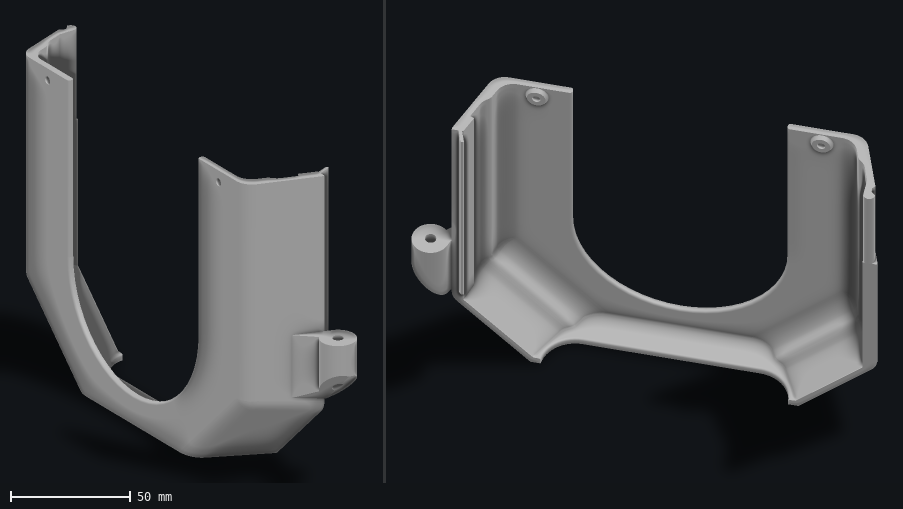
import cadquery as cq
import math


HEIGHT = 141.5
DEPTH = 33.5
RIM_Y = -0.5
HALF_WIDTH = 91.07
DIAGONAL_REACH = 57.4
LEAN_DEGREES = 20
WALL_LEAN = math.radians(LEAN_DEGREES)
RIM_FLAT = 1.5
OUTER_FILLET = 8.0

FRONT_WALL = 3.0
FLOOR_WALL = 3.0
THIN_WALL = 3.0
THICK_WALL = 5.0
STEP_START = -18.2
STEP_ANGLE = math.radians(30)
STEP_HOLLOW_RADIUS = 7.0
STEP_CREST_RADIUS = 4.0
INNER_FILLET = 8.0
INNER_CORNER_FILLET = 5.0

OPENING_HALF_WIDTH = 46.0
OPENING_FILLET = 1.2
OPENING_CENTRE_Z = 59.5
FLOOR_SCOOP_HALF_WIDTH = 53.0
FLOOR_SCOOP_DEPTH = 14.6
FLOOR_SCOOP_RADIUS = 15.0
FLOOR_SCOOP_FILLET = 1.0

SCREW_X = 61.0
SCREW_Z = 136.0
SCREW_DIAMETER = 3.5
BOSS_BASE_DIAMETER = 10.0
BOSS_TOP_DIAMETER = 8.0
BOSS_HEIGHT = 1.7

LEFT_LIP_X = -84.8
LIP_DEPTH = 10.5
GROOVE_LENGTH = 42.0
BEAD_RADIUS = 2.5
GROOVE_FLOOR_X = -87.7
GROOVE_START_Y = -4.4
GROOVE_END_Y = -6.1
GROOVE_EXIT_Y = -7.5

PAD_DEPTH = 8.5
PAD_RAMP = 0.8
TONGUE_LENGTH = 5.5
TONGUE_THICKNESS = 1.4
TONGUE_ROOT_X = 87.2
TONGUE_ROOT_DEPTH = 2.0
TONGUE_BOTTOM_Z = 38.3
TONGUE_BOTTOM_RISE = 5.0

HINGE_X = 100.0
HINGE_RADIUS = 8.0
HINGE_BORE = 4.8
HINGE_TOP_Z = 69.5
HINGE_DIAGONAL_REACH = 53.4
WEB_OFFSET = 0.6

LEAN = math.tan(WALL_LEAN)
ROOT2 = math.sqrt(2)
LEAN_HALF_WIDTH = HALF_WIDTH + RIM_FLAT * LEAN
LEAN_REACH = DIAGONAL_REACH + RIM_FLAT * LEAN * ROOT2
OVERSHOOT = 20.0
LONG = 400.0
FIT = 0.1


def outer_x(y):
    """X of the leaning outer face of the right wall at depth y."""
    return LEAN_HALF_WIDTH + y * LEAN


def inner_x(y, wall):
    """X of the inner face of the right wall for a given wall thickness."""
    return outer_x(y) - wall / math.cos(WALL_LEAN)


def rim_outline(half_width, reach):
    """Corners of the six-sided rim, open ends carried past the top and bottom faces."""
    low = -OVERSHOOT
    high = HEIGHT + OVERSHOOT
    right = [(reach + low, low), (half_width, half_width - reach), (half_width, high)]
    left = [(-x, z) for x, z in reversed(right)]
    return cq.Workplane("XZ").polyline(right + left).close()


def behind_rim_removed(body):
    """Body without anything behind the back rim."""
    front = cq.Workplane("XY").box(LONG, LONG, 2 * LONG, centered=(True, False, True))
    return body.intersect(front.translate((0, RIM_Y - LONG, 0)))


def outer_body():
    """Solid with leaning walls, rounded edges and a straight rim band."""
    leaning = rim_outline(LEAN_HALF_WIDTH, LEAN_REACH).extrude(DEPTH, taper=LEAN_DEGREES)
    walls = cq.selectors.BoxSelector((-LONG, -LONG, -1), (LONG, -1, HEIGHT))
    rounded = leaning.edges(walls).fillet(OUTER_FILLET)
    band = (
        rim_outline(HALF_WIDTH, DIAGONAL_REACH).extrude(DEPTH)
        .edges("|Y").edges(walls)
        .fillet(OUTER_FILLET)
    )
    height_range = cq.Workplane("XY").box(LONG, LONG, HEIGHT, centered=(True, True, False))
    return rounded.intersect(band).intersect(height_range)


def side_cavity(rim_distance, tilt):
    """Space on the inner side of one wall.

    rim_distance is measured from the origin to the wall's leaning face at Y = 0,
    tilt turns the wall about the Y axis, from upright at the right.
    """
    shift = rim_distance - LEAN_HALF_WIDTH
    ramp_slope = math.tan(WALL_LEAN + STEP_ANGLE)
    ramp_start = inner_x(STEP_START, THIN_WALL)
    ramp_gap = ramp_start - inner_x(STEP_START, THICK_WALL)
    ramp_depth = ramp_gap / (ramp_slope - LEAN)
    step_end = STEP_START - ramp_depth
    floor_y = FRONT_WALL - DEPTH
    back_y = OVERSHOOT
    rim_x = HALF_WIDTH - THIN_WALL + shift
    rim_y = (HALF_WIDTH - THIN_WALL - inner_x(0, THIN_WALL)) / LEAN
    corners = [
        (ramp_start + shift, STEP_START),
        (inner_x(step_end, THICK_WALL) + shift, step_end),
        (inner_x(floor_y, THICK_WALL) + shift, floor_y),
    ]
    radii = [STEP_HOLLOW_RADIUS, STEP_CREST_RADIUS, INNER_FILLET]
    outline = [(-LONG, back_y), (rim_x, back_y), (rim_x, rim_y)] + corners + [(-LONG, floor_y)]
    space = cq.Workplane("XY").polyline(outline).close().extrude(LONG, both=True)
    for (x, y), radius in zip(corners, radii):
        space = space.edges(cq.selectors.NearestToPointSelector((x, y, 0))).fillet(radius)
    return space.rotate((0, 0, 0), (0, 1, 0), tilt)


def cavity():
    """Hollow behind the front wall and above the floor."""
    arm = side_cavity(LEAN_HALF_WIDTH, 0)
    diagonal = side_cavity(LEAN_REACH / ROOT2, 45)
    corner = cq.selectors.BoxSelector((HALF_WIDTH / 2, -DEPTH, 0), (LONG, LONG, HEIGHT / 2))
    right = arm.intersect(diagonal)
    right = right.edges(corner).fillet(INNER_CORNER_FILLET)
    space = right.intersect(right.mirror("YZ"))
    above_floor = cq.Workplane("XY").workplane(offset=FLOOR_WALL).rect(LONG, LONG).extrude(LONG)
    return space.intersect(above_floor)


def cut_opening(part):
    """Cut the U-shaped window through the front wall and round its edges."""
    half = OPENING_HALF_WIDTH
    window = (
        cq.Workplane("XZ").moveTo(-half, HEIGHT).lineTo(-half, OPENING_CENTRE_Z)
        .threePointArc((0, OPENING_CENTRE_Z - half), (half, OPENING_CENTRE_Z))
        .lineTo(half, HEIGHT).close().extrude(DEPTH)
    )
    part = part.cut(window.intersect(front_wall_zone()))
    reach = half + FIT
    for y in (-DEPTH, FRONT_WALL - DEPTH):
        edge_zone = cq.selectors.BoxSelector(
            (-reach, y - FIT, FLOOR_WALL + FIT), (reach, y + FIT, HEIGHT - FIT)
        )
        part = part.edges(edge_zone).fillet(OPENING_FILLET)
    return part


def front_wall_zone():
    """Slab that holds the front wall only."""
    return cq.Workplane("XY").box(LONG, 2 * FRONT_WALL, LONG).translate((0, -DEPTH, 0))


def cut_floor_scoop(part):
    """Cut the shallow recess in the back edge of the floor and round its upper edge."""
    half = FLOOR_SCOOP_HALF_WIDTH
    radius = FLOOR_SCOOP_RADIUS
    flat = half - radius
    lift = radius - FLOOR_SCOOP_DEPTH
    bend = radius / ROOT2
    scoop = (
        cq.Workplane("XY").moveTo(-half, lift)
        .threePointArc((-flat - bend, lift - bend), (-flat, -FLOOR_SCOOP_DEPTH))
        .lineTo(flat, -FLOOR_SCOOP_DEPTH)
        .threePointArc((flat + bend, lift - bend), (half, lift))
        .close().extrude(FLOOR_WALL)
    )
    part = part.cut(scoop)
    edge_zone = cq.selectors.BoxSelector(
        (-half, -FLOOR_SCOOP_DEPTH - FIT, FLOOR_WALL - FIT), (half, RIM_Y - FIT, FLOOR_WALL + FIT)
    )
    return part.edges(edge_zone).fillet(FLOOR_SCOOP_FILLET)


def screw_boss(x):
    """Conical boss inside the front wall, rooted in the wall."""
    taper = math.degrees(math.atan((BOSS_BASE_DIAMETER - BOSS_TOP_DIAMETER) / 2 / BOSS_HEIGHT))
    base = cq.Workplane("XZ", origin=(x, FRONT_WALL - DEPTH, SCREW_Z)).circle(BOSS_BASE_DIAMETER / 2)
    return base.extrude(-BOSS_HEIGHT, taper=taper)


def screw_hole(x):
    """Through hole for a screw in the front wall."""
    plane = cq.Workplane("XZ", origin=(x, 0, SCREW_Z))
    return plane.circle(SCREW_DIAMETER / 2).extrude(DEPTH + OVERSHOOT)


def left_lip(back_y, length):
    """Upright lip at the back of the left wall, reaching down from the top face by length."""
    outline = [
        (LEFT_LIP_X, back_y), (-HALF_WIDTH + RIM_FLAT, back_y),
        (-outer_x(-LIP_DEPTH) + RIM_FLAT, -LIP_DEPTH), (LEFT_LIP_X, -LIP_DEPTH),
    ]
    bottom = cq.Workplane("XY").workplane(offset=HEIGHT - length)
    return bottom.polyline(outline).close().extrude(length)


def snap_groove():
    """Material removed outside the rounded bead and notch at the top of the left lip."""
    bead_x = LEFT_LIP_X - BEAD_RADIUS
    left = bead_x - BEAD_RADIUS
    right = LEFT_LIP_X
    far_left = -HALF_WIDTH - OVERSHOOT
    outline = (
        cq.Workplane("XY", origin=(0, 0, HEIGHT - GROOVE_LENGTH))
        .moveTo(right, OVERSHOOT).lineTo(right, -BEAD_RADIUS)
        .threePointArc((bead_x, 0), (left, -BEAD_RADIUS))
        .lineTo(GROOVE_FLOOR_X, GROOVE_START_Y).lineTo(GROOVE_FLOOR_X, GROOVE_END_Y)
        .lineTo(-outer_x(GROOVE_EXIT_Y), GROOVE_EXIT_Y).lineTo(far_left, GROOVE_EXIT_Y)
        .lineTo(far_left, OVERSHOOT).close()
    )
    return outline.extrude(GROOVE_LENGTH)


def right_pad():
    """Band that thickens the back of the right wall."""
    ramp_end = -PAD_DEPTH - PAD_RAMP
    middle = (THIN_WALL + RIM_FLAT) / 2
    outline = [
        (inner_x(RIM_Y, THICK_WALL), RIM_Y), (inner_x(RIM_Y, middle), RIM_Y),
        (inner_x(ramp_end, middle), ramp_end), (inner_x(ramp_end, THIN_WALL), ramp_end),
        (inner_x(-PAD_DEPTH, THICK_WALL), -PAD_DEPTH),
    ]
    return cq.Workplane("XY").polyline(outline).close().extrude(HEIGHT)


def tongue():
    """Round-tipped tongue behind the right wall, leaning inward, with a sloped lower end."""
    radius = TONGUE_THICKNESS / 2
    length = TONGUE_LENGTH / math.cos(WALL_LEAN)
    blade = (
        cq.Workplane("XY").moveTo(-radius, -TONGUE_ROOT_DEPTH).lineTo(radius, -TONGUE_ROOT_DEPTH)
        .lineTo(radius, length - radius).threePointArc((0, length), (-radius, length - radius))
        .close().extrude(HEIGHT)
        .rotate((0, 0, 0), (0, 0, 1), LEAN_DEGREES).translate((TONGUE_ROOT_X, 0, 0))
    )
    slope = TONGUE_BOTTOM_RISE / TONGUE_LENGTH
    keep = [
        (-OVERSHOOT, TONGUE_BOTTOM_Z - OVERSHOOT * slope),
        (OVERSHOOT, TONGUE_BOTTOM_Z + OVERSHOOT * slope),
        (OVERSHOOT, HEIGHT), (-OVERSHOOT, HEIGHT),
    ]
    return blade.intersect(cq.Workplane("YZ").polyline(keep).close().extrude(LONG))


def hinge():
    """Hinge barrel and its web on the right wall, with a lower end sloped like the 45 degree walls."""
    web_y = (HINGE_X + WEB_OFFSET - LEAN_HALF_WIDTH) / (LEAN - 1)
    inset = THIN_WALL / 2
    tangent_x = HINGE_X - HINGE_RADIUS * math.cos(WALL_LEAN)
    tangent_y = HINGE_RADIUS * math.sin(WALL_LEAN)
    web = [
        (outer_x(web_y), web_y), (HINGE_X, -WEB_OFFSET), (tangent_x, tangent_y), (outer_x(RIM_Y), RIM_Y),
        (outer_x(RIM_Y) - inset, RIM_Y), (outer_x(web_y) - inset, web_y),
    ]
    body = cq.Workplane("XY").polyline(web).close().extrude(HINGE_TOP_Z)
    body = body.union(cq.Workplane("XY").center(HINGE_X, 0).circle(HINGE_RADIUS).extrude(HINGE_TOP_Z))
    body = body.cut(cq.Workplane("XY").center(HINGE_X, 0).circle(HINGE_BORE / 2).extrude(HINGE_TOP_Z))
    low = -HINGE_DIAGONAL_REACH
    above_slope = [(0, low), (LONG, LONG + low), (0, LONG + low)]
    front_part = cq.Workplane("XZ").polyline(above_slope).close().extrude(DEPTH, taper=LEAN_DEGREES)
    back_part = cq.Workplane("XZ").polyline(above_slope).close().extrude(-DEPTH)
    return body.intersect(front_part.union(back_part))


def build():
    """The whole guard as one solid."""
    shell = outer_body()
    part = behind_rim_removed(shell.cut(cavity()))
    part = cut_opening(part)
    part = cut_floor_scoop(part)
    lip = left_lip(RIM_Y, HEIGHT).union(left_lip(0, GROOVE_LENGTH))
    part = part.union(lip.intersect(shell)).cut(snap_groove())
    part = part.union(right_pad().intersect(shell)).union(tongue()).union(hinge())
    for x in (-SCREW_X, SCREW_X):
        part = part.union(screw_boss(x)).cut(screw_hole(x))
    return part


result = build()